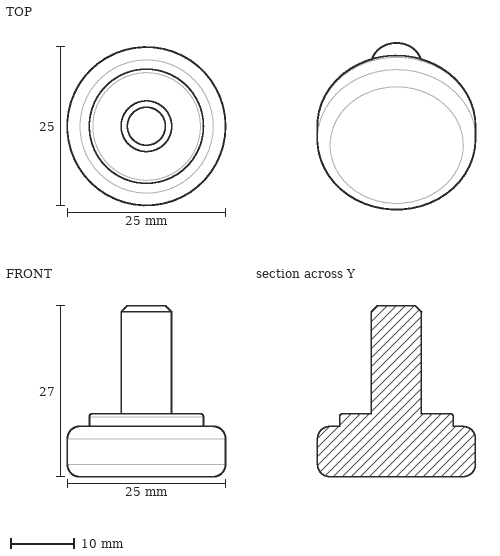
import cadquery as cq

total_height = 27.0
head_diameter = 25.0
head_height = 8.0
head_edge_radius = 2.0
collar_diameter = 18.0
collar_height = 2.0
collar_edge_radius = 0.5
stud_diameter = 8.0
stud_chamfer = 1.0

stud_length = total_height - head_height - collar_height


def make_head():
    """Disc with both rims rounded, standing on the XY plane."""
    disc = cq.Workplane("XY").circle(head_diameter / 2).extrude(head_height)
    return disc.edges().fillet(head_edge_radius)


def make_collar():
    """Low step on the head with a rounded top rim."""
    step = cq.Workplane("XY").workplane(offset=head_height).circle(collar_diameter / 2).extrude(collar_height)
    return step.faces(">Z").edges().fillet(collar_edge_radius)


def make_stud():
    """Plain shank rising from the collar with a chamfered tip."""
    base_z = head_height + collar_height
    shank = cq.Workplane("XY").workplane(offset=base_z).circle(stud_diameter / 2).extrude(stud_length)
    return shank.faces(">Z").edges().chamfer(stud_chamfer)


result = make_head().union(make_collar()).union(make_stud())